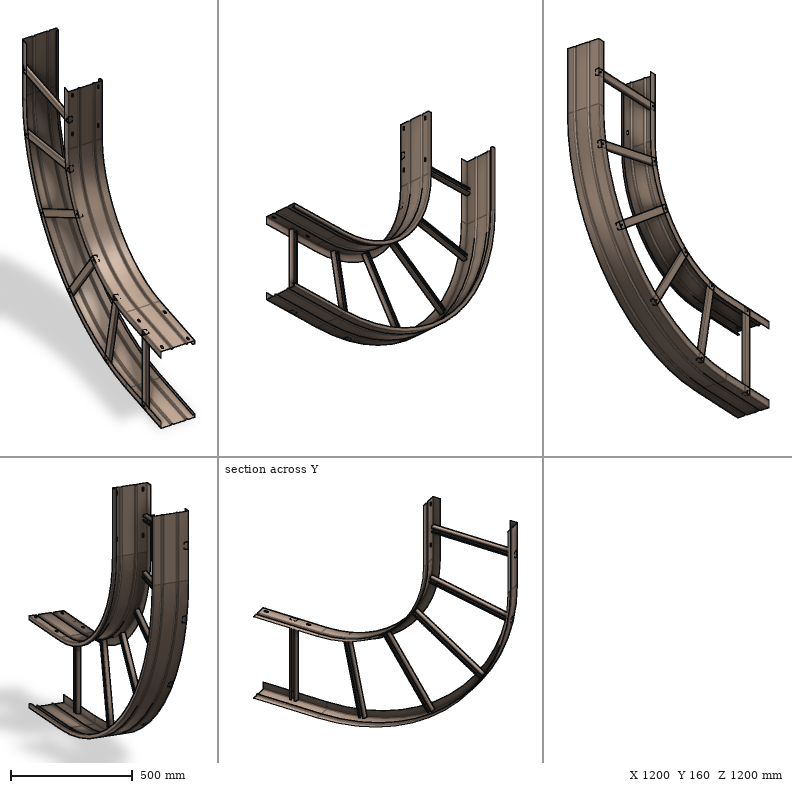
import cadquery as cq
import math

overall = 1200.0
rail_width = 160.0
straight = 300.0
ladder_width = 400.0
sheet = 1.5
bend_radius = 2.0

front_flange = 35.0
back_flange = 18.0
back_lip = 11.0
groove_places = (-28.0, 41.0)
groove_half_width = 6.0
groove_depth = 6.0

slot_length = 18.0
slot_width = 7.0
slot_end_distances = (25.0, 225.0)
slot_offset = 60.0

rung_front_width = 36.0
rung_back_width = 29.0
rung_lip = 8.0
rung_depth = 19.0
rung_end_gap = 4.2
rung_end_distance = 150.0
arc_rungs = 4

hole_diameter = 6.0
hole_inset = 15.0

outer_radius = overall - straight
arc_center = outer_radius
axis_start = cq.Vector(arc_center, 0, arc_center)
axis_end = cq.Vector(arc_center, -12, arc_center)
diagonal = cq.Vector(1, 0, -1)
inner_hole_inset = ladder_width - hole_inset
front_y = -rail_width / 2
flange_inside_y = front_y + sheet

leg_shift = straight - rung_end_distance
arc_step = 90.0 / arc_rungs
stations = [(0.0, leg_shift), (90.0, -leg_shift)]
stations += [((i + 0.5) * arc_step, 0.0) for i in range(arc_rungs)]


def offset_path(points, distance):
    """Move a polyline sideways (to its left for a positive distance) with mitred corners."""
    points = [cq.Vector(*p) for p in points]
    directions = [(b - a).normalized() for a, b in zip(points, points[1:])]
    normals = [cq.Vector(-d.y, d.x) for d in directions]
    moved = [points[0] + normals[0] * distance]
    for point, before, after in zip(points[1:], normals, normals[1:]):
        moved.append(point + (before + after) * (distance / (1 + before.dot(after))))
    moved.append(points[-1] + normals[-1] * distance)
    return moved


def rounded_edges(points, outer_side):
    """Edges along a polyline with rounded corners.

    outer_side is +1 for the left face of the sheet and -1 for the right; a corner that turns away
    from that side gets the outside bend radius, any other the inside one.
    """
    edges = []
    start = points[0]
    for before, corner, after in zip(points, points[1:], points[2:]):
        into = (corner - before).normalized()
        out = (after - corner).normalized()
        turn = math.atan2(into.x * out.y - into.y * out.x, into.dot(out))
        radius = bend_radius if turn * outer_side < 0 else bend_radius - sheet
        tangent = radius * math.tan(abs(turn) / 2)
        arc_start = corner - into * tangent
        arc_end = corner + out * tangent
        to_middle = radius / math.cos(turn / 2) - radius
        arc_middle = corner + (out - into).normalized() * to_middle
        edges.append(cq.Edge.makeLine(start, arc_start))
        edges.append(cq.Edge.makeThreePointArc(arc_start, arc_middle, arc_end))
        start = arc_end
    edges.append(cq.Edge.makeLine(start, points[-1]))
    return edges


def sheet_section(points):
    """Face in the XY plane of bent sheet that follows a mid-surface polyline."""
    left = offset_path(points, sheet / 2)
    right = offset_path(points, -sheet / 2)
    ends = [cq.Edge.makeLine(left[0], right[0]), cq.Edge.makeLine(left[-1], right[-1])]
    edges = rounded_edges(left, 1) + rounded_edges(right, -1) + ends
    return cq.Face.makeFromWires(cq.Wire.assembleEdges(edges))


def place_at_station(shape, turn, shift):
    """Carry a shape from the start of the arc to a rung station."""
    return shape.translate(cq.Vector(0, 0, shift)).rotate(axis_start, axis_end, turn)


def fixing_hole(web_inset):
    """Cutter for a hole at the start of the arc, at a distance inward from the outer rail web."""
    hole_depth = 3 * sheet
    return cq.Solid.makeCylinder(
        hole_diameter / 2,
        hole_depth,
        cq.Vector(web_inset, front_y - sheet / 2, arc_center),
        cq.Vector(0, 1, 0),
    )


def make_rail(web_x, inward, hole_from_outer_web):
    """Rail with its web at web_x in the upright leg and its flanges pointing along inward (+1 or -1)."""
    web = sheet / 2
    edge_y = rail_width / 2 - sheet / 2
    path = [(front_flange, -edge_y), (web, -edge_y)]
    for groove_y in groove_places:
        path.append((web, groove_y - groove_half_width))
        path.append((web + groove_depth, groove_y))
        path.append((web, groove_y + groove_half_width))
    lip_x = back_flange - sheet / 2
    path += [(web, edge_y), (lip_x, edge_y), (lip_x, rail_width / 2 - back_lip)]
    placed_path = [(web_x + inward * depth, y) for depth, y in path]
    section = sheet_section(placed_path).translate(cq.Vector(0, 0, arc_center))

    upright_leg = cq.Solid.extrudeLinear(section, cq.Vector(0, 0, straight))
    level_leg = upright_leg.mirror(diagonal)
    arc = cq.Solid.revolve(section, 90, axis_start, axis_end)
    rail = arc.fuse(upright_leg, level_leg)
    hole = fixing_hole(hole_from_outer_web)
    return cq.Workplane(rail.cut(*[place_at_station(hole, *station) for station in stations]))


def make_leg_slots():
    """Cutters for the slots through the web of the inner rail, in both legs."""
    centers = [(overall - d, side * slot_offset) for d in slot_end_distances for side in (-1, 1)]
    level_slots = (
        cq.Workplane("XY", origin=(0, 0, ladder_width))
        .pushPoints(centers)
        .slot2D(slot_length, slot_width)
        .extrude(2 * sheet, both=True)
    )
    return level_slots.add(level_slots.mirror(diagonal)).combine()


def make_rung(turn, shift):
    """Rung between the two rails, lying against the inside of their front flanges."""
    front = flange_inside_y + sheet / 2
    back = flange_inside_y + rung_depth - sheet / 2
    half_front = (rung_front_width - sheet) / 2
    half_back = (rung_back_width - sheet) / 2
    lip_end = rung_back_width / 2 - rung_lip
    half_path = [(back, lip_end), (back, half_back), (front, half_front)]
    path = half_path + [(y, -z) for y, z in reversed(half_path)]
    plane = cq.Plane(origin=(rung_end_gap, 0, arc_center), xDir=(0, 1, 0), normal=(1, 0, 0))
    section = sheet_section(path).moved(cq.Location(plane))
    rung = cq.Solid.extrudeLinear(section, cq.Vector(ladder_width - 2 * rung_end_gap, 0, 0))
    rung = rung.cut(fixing_hole(hole_inset), fixing_hole(inner_hole_inset))
    return cq.Workplane(place_at_station(rung, turn, shift))


outer_rail = make_rail(0, 1, hole_inset)
inner_rail = make_rail(ladder_width, -1, inner_hole_inset).cut(make_leg_slots())
rungs = [make_rung(*station) for station in stations]

result = cq.Compound.makeCompound([outer_rail.val(), inner_rail.val(), *[rung.val() for rung in rungs]])